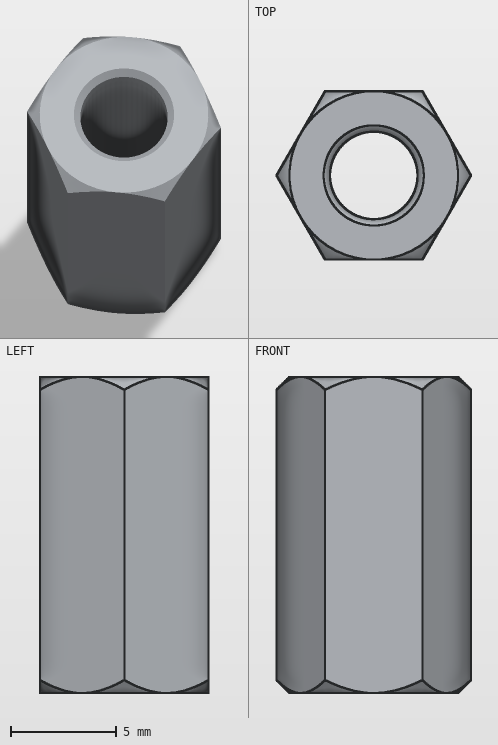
import cadquery as cq
import math

length = 15.0
across_flats = 8.0
bore_diameter = 4.14
countersink_diameter = 4.75

across_corners = across_flats / math.cos(math.pi / 6)
corner_cut = (across_corners - across_flats) / 2
countersink_depth = (countersink_diameter - bore_diameter) / 2

hexagon = cq.Workplane("XY").polygon(6, across_corners).extrude(length)

corner_trim = (
    cq.Workplane("XY")
    .circle(across_corners / 2)
    .extrude(length)
    .faces("<Z or >Z")
    .chamfer(corner_cut)
)
body = hexagon.intersect(corner_trim)

bore = cq.Workplane("XY").circle(bore_diameter / 2).extrude(length)
lower_countersink = cq.Workplane("XY").add(
    cq.Solid.makeCone(countersink_diameter / 2, bore_diameter / 2, countersink_depth)
)
upper_countersink = lower_countersink.mirror("XY").translate((0, 0, length))

result = body.cut(bore).cut(lower_countersink).cut(upper_countersink)